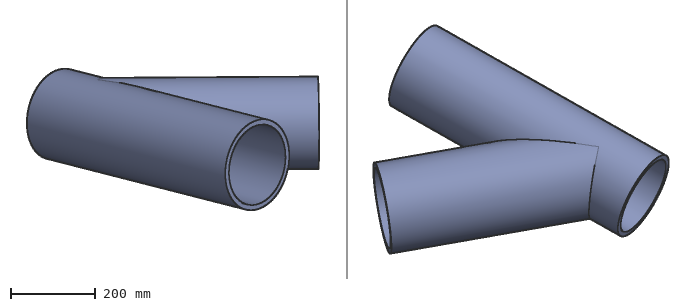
import cadquery as cq
import math

outer_diameter = 219.0
inner_diameter = 193.5
run_length = 648.0
branch_angle = 45.0
branch_length = 521.0
junction_distance = 127.0

angle = math.radians(branch_angle)
run_start = cq.Vector(0, 0, 0)
run_direction = cq.Vector(1, 0, 0)
junction = cq.Vector(junction_distance, 0, 0)
branch_direction = cq.Vector(math.cos(angle), math.sin(angle), 0)


def run_cylinder(diameter):
    """Full-length cylinder along the straight run."""
    return cq.Solid.makeCylinder(diameter / 2, run_length, run_start, run_direction)


def branch_cylinder(diameter):
    """Cylinder from the axis crossing to the open end of the branch."""
    return cq.Solid.makeCylinder(diameter / 2, branch_length, junction, branch_direction)


def wye(diameter):
    """Run and branch of equal diameter joined into one solid."""
    return cq.Workplane(obj=run_cylinder(diameter)).union(cq.Workplane(obj=branch_cylinder(diameter)))


result = wye(outer_diameter).cut(wye(inner_diameter))